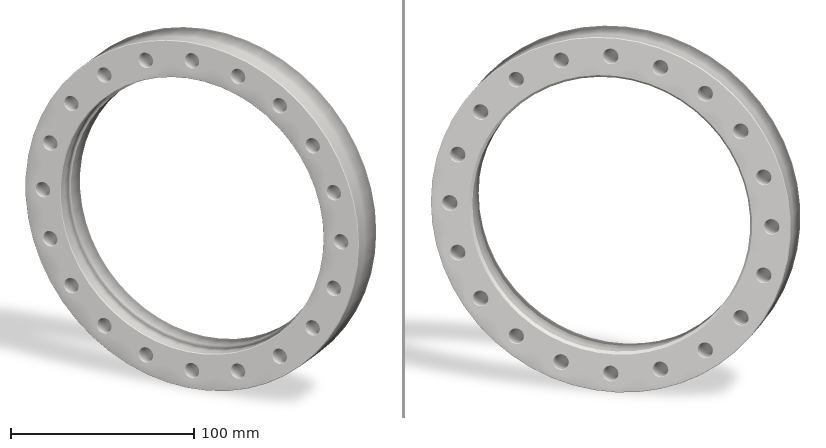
import cadquery as cq
outer_radius = 101.2
thickness = 22.3
edge_chamfer = 0.5

bore_radius = 78.1
recess_radius = 79.7
recess_depth = 9.7
recess_chamfer = 0.5
bore_chamfer = 1.5

bolt_count = 20
bolt_circle_radius = 90.5
bolt_hole_diameter = 8.3
hole_chamfer = 0.3

front_y = -thickness / 2
back_y = thickness / 2
shoulder_y = front_y + recess_depth


def ring_body():
    """Revolve the stepped half section, given as (radius, y), around the Y axis."""
    section = [
        (bore_radius, back_y - bore_chamfer),
        (bore_radius + bore_chamfer, back_y),
        (outer_radius - edge_chamfer, back_y),
        (outer_radius, back_y - edge_chamfer),
        (outer_radius, front_y + edge_chamfer),
        (outer_radius - edge_chamfer, front_y),
        (recess_radius + recess_chamfer, front_y),
        (recess_radius, front_y + recess_chamfer),
        (recess_radius, shoulder_y),
        (bore_radius, shoulder_y),
    ]
    return cq.Workplane("XY").polyline(section).close().revolve(360, (0, 0, 0), (0, 1, 0))


def bolt_hole_cutter():
    """One bolt hole along Y at the +X end of the bolt circle, chamfered at both faces."""
    hole_radius = bolt_hole_diameter / 2
    mouth_radius = hole_radius + hole_chamfer
    half_section = [
        (0, front_y),
        (mouth_radius, front_y),
        (hole_radius, front_y + hole_chamfer),
        (hole_radius, back_y - hole_chamfer),
        (mouth_radius, back_y),
        (0, back_y),
    ]
    cutter = cq.Workplane("XY").polyline(half_section).close().revolve(360, (0, 0, 0), (0, 1, 0))
    return cutter.translate((bolt_circle_radius, 0, 0))


result = ring_body()
hole_cutter = bolt_hole_cutter()
for index in range(bolt_count):
    angle = index * 360 / bolt_count
    result = result.cut(hole_cutter.rotate((0, 0, 0), (0, 1, 0), angle))